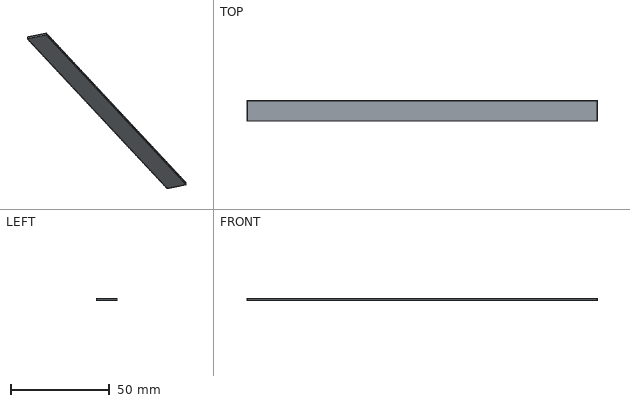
import cadquery as cq

length = 177.8
width = 10.5
thickness = 1.05

result = cq.Workplane("XY").box(length, width, thickness)